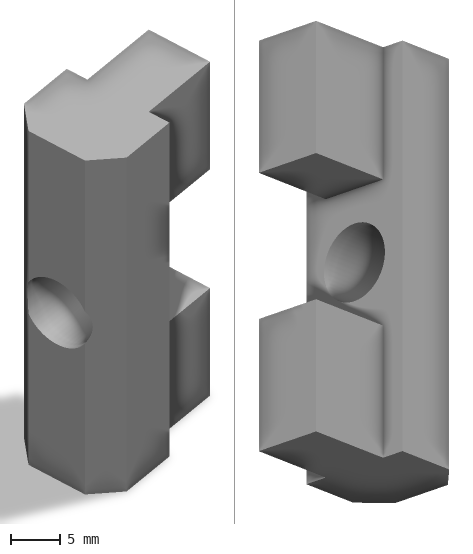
import cadquery as cq

length = 45.0
head_width = 13.4
total_depth = 20.0
stem_width = 8.0
stem_depth = 10.0
chamfer = 3.0
gap_height = 16.0
hole_diameter = 8.5

head_depth = total_depth - stem_depth
front_y = -total_depth / 2
stem_y = front_y + head_depth


def make_head():
    """Full-length bar with its two front edges chamfered."""
    bar = cq.Workplane("XY").box(head_width, head_depth, length)
    bar = bar.faces("<Y").edges("|Z").chamfer(chamfer)
    return bar.translate((0, front_y + head_depth / 2, 0))


def make_stem():
    """Narrow rear rib, interrupted by a gap at mid-length."""
    rib = cq.Workplane("XY").box(stem_width, stem_depth, length)
    gap = cq.Workplane("XY").box(stem_width, stem_depth, gap_height)
    return rib.cut(gap).translate((0, stem_y + stem_depth / 2, 0))


def make_hole():
    """Round through hole along Y at the centre of the part."""
    axis_plane = cq.Workplane("XZ")
    return axis_plane.circle(hole_diameter / 2).extrude(total_depth, both=True)


result = make_head().union(make_stem()).cut(make_hole())